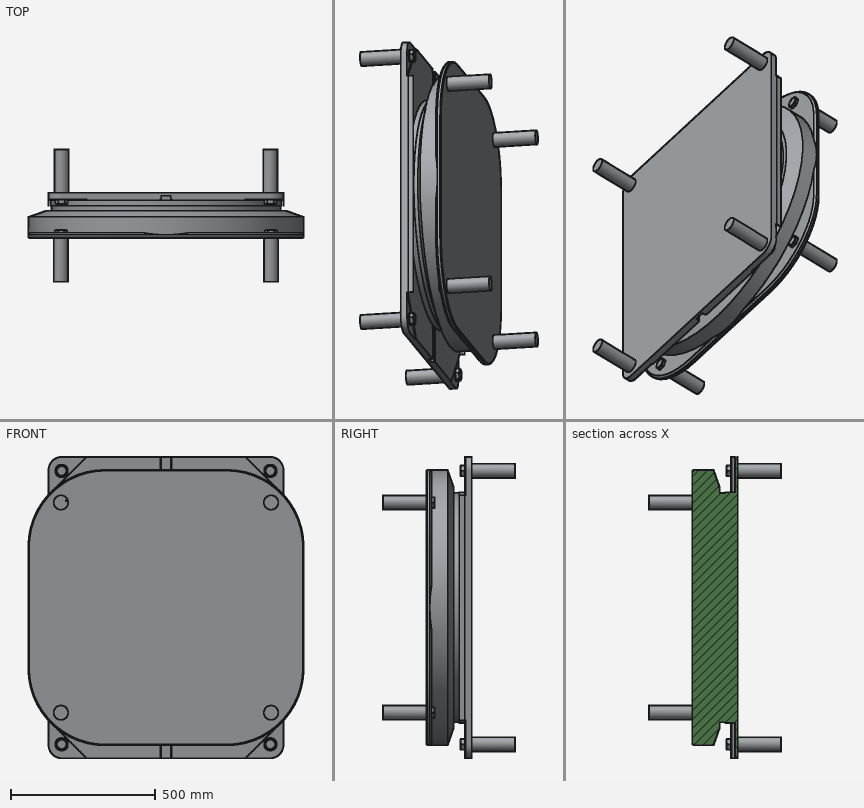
import cadquery as cq
import math

cover_width = 955.0
plate_width = 815.0
plate_height = 1045.0
front_face = 158.5

plate_thickness = 22.0
plate_corner_radius = 47.5
sheet_thickness = 3.5
sheet_front = plate_thickness + sheet_thickness
corner_cut = 133.0
lip_front = 44.5
lip_thickness = 2.0

channel_width = 33.0
channel_floor = 10.5
channel_mouth_width = 40.0

collar_diameter = 800.0
collar_front = lip_front
neck_diameter = 796.0
neck_front = 62.0
cone_rear_diameter = 830.0
cone_front = 84.0

cover_rear = 138.5
cover_corner_radius = 267.0
cover_rear_chamfer = 7.0
cover_rim_front = 155.0
face_inset = 3.5

pin_diameter = 50.0
pin_length = 150.0
rear_pin_x = 361.5
rear_pin_z = 473.5
front_pin_offset = 364.0
head_corner_diameter = 44.0
head_face_diameter = 33.2
washer_diameter = 44.0
washer_thickness = 3.0
head_chamfer_angle = math.radians(30)
rear_head_front = 40.0
front_head_rear = 128.5


def front_plane(depth):
    """Sketch plane at a distance in front of the plate rear; its local axes are X and Z."""
    return cq.Workplane("XZ", origin=(0, -depth, 0))


def disc(diameter, start, end):
    return front_plane(start).circle(diameter / 2).extrude(end - start)


def base_plate():
    plate = front_plane(0).rect(plate_width, plate_height).extrude(plate_thickness)
    return plate.edges("|Y").fillet(plate_corner_radius)


def octagonal_sheet():
    sheet = front_plane(plate_thickness).rect(plate_width, plate_height).extrude(sheet_thickness)
    return sheet.edges("|Y").chamfer(corner_cut)


def side_lips():
    """Thin upstands along both long sides, between the corner cuts."""
    lip_height = plate_height - 2 * corner_cut
    lip_x = (plate_width - lip_thickness) / 2
    lips = front_plane(plate_thickness).pushPoints([(-lip_x, 0), (lip_x, 0)])
    return lips.rect(lip_thickness, lip_height).extrude(lip_front - plate_thickness)


def edge_channels():
    """Cutters for the channels, which run from the plate edges in to the collar."""
    length = (plate_height - collar_diameter) / 2
    center_z = (plate_height - length) / 2
    centers = [(0, -center_z), (0, center_z)]
    channels = front_plane(channel_floor).pushPoints(centers)
    channels = channels.rect(channel_width, length).extrude(sheet_front - channel_floor)
    mouths = front_plane(plate_thickness).pushPoints(centers)
    mouths = mouths.rect(channel_mouth_width, length).extrude(sheet_thickness)
    return channels.union(mouths)


def housing():
    collar = disc(collar_diameter, plate_thickness, collar_front)
    neck = disc(neck_diameter, collar_front, neck_front)
    flare = (
        front_plane(neck_front)
        .circle(cone_rear_diameter / 2)
        .workplane(offset=cone_front - neck_front)
        .circle(cover_width / 2)
        .loft()
    )
    drum = disc(cover_width, cone_front, cover_rim_front)
    return collar.union(neck).union(flare).union(drum)


def cover():
    """Rounded square with a chamfered rear edge and a thin raised face inside its front rim."""
    body = front_plane(cover_rear).rect(cover_width, cover_width).extrude(cover_rim_front - cover_rear)
    body = body.edges("|Y").fillet(cover_corner_radius)
    body = body.faces(">Y").chamfer(cover_rear_chamfer)
    face_width = cover_width - 2 * face_inset
    face = front_plane(cover_rim_front).rect(face_width, face_width).extrude(front_face - cover_rim_front)
    face = face.edges("|Y").fillet(cover_corner_radius - face_inset)
    return body.union(face)


def bolt_head(seat, tip):
    """Hexagon head on the Y axis, chamfered down to a round end face at the tip."""
    hexagon = front_plane(seat).polygon(6, head_corner_diameter).extrude(tip - seat)
    corner_radius = head_corner_diameter / 2
    face_radius = head_face_diameter / 2
    drop = (corner_radius - face_radius) * math.tan(head_chamfer_angle)
    shoulder = tip - math.copysign(drop, tip - seat)
    profile = [
        (0, -seat),
        (corner_radius, -seat),
        (corner_radius, -shoulder),
        (face_radius, -tip),
        (0, -tip),
    ]
    envelope = cq.Workplane("XY").polyline(profile).close().revolve(360, (0, 0, 0), (0, 1, 0))
    return hexagon.intersect(envelope)


def add_at_corners(body, feature, offset_x, offset_z):
    for side_x in (-1, 1):
        for side_z in (-1, 1):
            body = body.union(feature.translate((side_x * offset_x, 0, side_z * offset_z)))
    return body


rear_pin = disc(pin_diameter, -pin_length, 0)
front_pin = disc(pin_diameter, front_face, front_face + pin_length)
washer = disc(washer_diameter, plate_thickness, plate_thickness + washer_thickness)
rear_head = bolt_head(plate_thickness, rear_head_front).union(washer)
front_head = bolt_head(cover_rear, front_head_rear)

result = base_plate().union(octagonal_sheet()).union(side_lips()).cut(edge_channels())
result = result.union(housing()).union(cover())
result = add_at_corners(result, rear_pin, rear_pin_x, rear_pin_z)
result = add_at_corners(result, rear_head, rear_pin_x, rear_pin_z)
result = add_at_corners(result, front_pin, front_pin_offset, front_pin_offset)
result = add_at_corners(result, front_head, front_pin_offset, front_pin_offset)